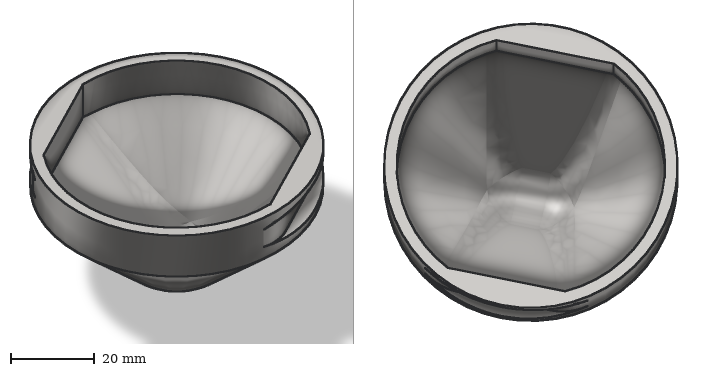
import cadquery as cq
import math

rim_radius = 35.0
height = 40.0
rim_height = 12.5
cone_angle = math.radians(45)
nose_radius = (rim_radius + rim_height - height) / (math.sqrt(2) - 1)

cavity_radius = 32.0
cavity_flat = 28.6
cavity_wall_depth = 10.2
wedge_lift = 3.5
blend_radius = 10.0

notch_floor = 31.5
notch_blend_radius = 15.0
notch_mouth_half_height = 4.3
notch_side_angle = math.radians(15)

overshoot = 7.0


def make_body():
    """Round rim over a 45 degree cone that ends in a tangent sphere; the rim top is at Z = 0."""
    nose_center_z = nose_radius - height
    tangent_x = nose_radius * math.sin(cone_angle)
    tangent_z = nose_center_z - nose_radius * math.cos(cone_angle)
    mid_x = nose_radius * math.sin(cone_angle / 2)
    mid_z = nose_center_z - nose_radius * math.cos(cone_angle / 2)
    return (
        cq.Workplane("XZ")
        .lineTo(rim_radius, 0)
        .lineTo(rim_radius, -rim_height)
        .lineTo(tangent_x, tangent_z)
        .threePointArc((mid_x, mid_z), (0, -height))
        .close()
        .revolve(360, (0, 0), (0, 1))
    )


def make_cavity():
    """45 degree funnel squeezed by two 45 degree planes, all blended, inside a flattened round wall.

    The funnel is a sharp core, set back from the funnel walls by the blend radius and grown again
    by that radius with round corners.
    """
    core_tip = -cavity_wall_depth - cavity_radius + blend_radius * math.sqrt(2)
    core_top = overshoot
    core_radius = core_top - core_tip
    cone = (
        cq.Workplane("XZ")
        .moveTo(0, core_tip)
        .lineTo(core_radius, core_top)
        .lineTo(0, core_top)
        .close()
        .revolve(360, (0, 0), (0, 1))
    )
    wedge_half_width = core_radius - wedge_lift
    wedge = (
        cq.Workplane("XZ")
        .moveTo(0, core_tip + wedge_lift)
        .lineTo(wedge_half_width, core_top)
        .lineTo(-wedge_half_width, core_top)
        .close()
        .extrude(core_radius, both=True)
    )
    core = cone.intersect(wedge)
    funnel = core.union(core.shell(blend_radius, kind="arc"))
    wall = cq.Workplane("XY").workplane(offset=-height).circle(cavity_radius).extrude(height + overshoot)
    flats = cq.Workplane("XY").box(2 * cavity_flat, 2 * rim_radius, 3 * height)
    return funnel.intersect(wall).intersect(flats)


def make_notch():
    """Notch on the +X side: flat floor blended into the rim by tangent arcs, between flared walls."""
    arc_center_distance = rim_radius - notch_blend_radius
    arc_center_x = notch_floor - notch_blend_radius
    floor_half_length = math.sqrt(arc_center_distance**2 - arc_center_x**2)
    end_angle = math.acos(arc_center_x / arc_center_distance)
    end_x = rim_radius * math.cos(end_angle)
    end_y = rim_radius * math.sin(end_angle)
    mid_x = arc_center_x + notch_blend_radius * math.cos(end_angle / 2)
    mid_y = floor_half_length + notch_blend_radius * math.sin(end_angle / 2)
    outer_x = rim_radius + overshoot
    floor_shape = (
        cq.Workplane("XY")
        .workplane(offset=-rim_height)
        .moveTo(notch_floor, -floor_half_length)
        .lineTo(notch_floor, floor_half_length)
        .threePointArc((mid_x, mid_y), (end_x, end_y))
        .lineTo(outer_x, end_y)
        .lineTo(outer_x, -end_y)
        .lineTo(end_x, -end_y)
        .threePointArc((mid_x, -mid_y), (notch_floor, -floor_half_length))
        .close()
        .extrude(rim_height)
    )
    flare = math.tan(notch_side_angle)
    outer_half = notch_mouth_half_height + flare * overshoot
    inner_x = rim_radius - notch_mouth_half_height / flare
    mid_z = -rim_height / 2
    side_shape = (
        cq.Workplane("XZ")
        .moveTo(inner_x, mid_z)
        .lineTo(outer_x, mid_z - outer_half)
        .lineTo(outer_x, mid_z + outer_half)
        .close()
        .extrude(rim_radius, both=True)
    )
    return floor_shape.intersect(side_shape)


notch = make_notch()
result = make_body().cut(make_cavity())
for turn in (0, 180):
    result = result.cut(notch.rotate((0, 0, 0), (0, 0, 1), turn))